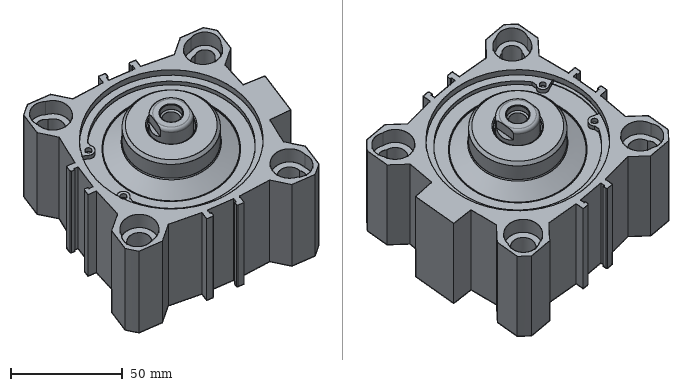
import cadquery as cq
import math

HALF_WIDTH = 50.0
HOUSING_HEIGHT = 56.0
TOTAL_LENGTH = 105.0
TOTAL_HEIGHT = 74.0

LUG_CORNER_RADIUS = 67.5
LUG_INNER = 33.4
LUG_SHOULDER_DROP = 7.2
WALL_FLAT_HALF = 9.7
WALL_FLAT_DISTANCE = 44.2
JOIN_OVERLAP = 1.0

RIB_TIP_DISTANCE = 48.5
RIB_INNER = 6.7
RIB_LIP_INNER = 6.0
RIB_LIP_HEIGHT = 2.2
RIB_LIP_CHAMFER = 0.4

PORT_BASE_HALF = 12.0
PORT_TIP_HALF = 11.5
PORT_TIP_DISTANCE = TOTAL_LENGTH - HALF_WIDTH

SCREW_OFFSET = 38.7
SCREW_DIAMETER = 11.4
COUNTERBORE_DIAMETER = 17.4
COUNTERBORE_DEPTH = 9.0
RELIEF_OFFSET = 41.1
RELIEF_DIAMETER = 9.1
RELIEF_COUNTERBORE_DIAMETER = 14.5

BORE_DIAMETER = 82.1
RING_TOP_DEPTH = 3.7
RING_THICKNESS = 2.5
RING_DIAMETER = 85.6
RING_INNER_DIAMETER = 75.1
RING_TOP = HOUSING_HEIGHT - RING_TOP_DEPTH
COVER_SEAT = RING_TOP - RING_THICKNESS
COVER_THICKNESS = 12.0
BORE_FLOOR = COVER_SEAT - COVER_THICKNESS

COVER_DIAMETER = 81.7
RECESS_DIAMETER = 62.0
RECESS_DEPTH = 0.4
CONE_DIAMETER = 61.1
CONE_TOP_DEPTH = 1.7
COLLAR_FOOT_DIAMETER = 44.8
COLLAR_FOOT_HEIGHT = 0.6
COLLAR_DIAMETER = 44.0
COLLAR_HEIGHT = 10.0
COLLAR_CHAMFER_WIDTH = 1.5
COLLAR_CHAMFER_HEIGHT = 1.6
ROD_HOLE_DIAMETER = 20.6
WIPER_SEAT_DIAMETER = 21.9
WIPER_SEAT_DEPTH = 2.0
ROD_HOLE_MOUTH_DIAMETER = 23.0

LUG_HOLE_X = 15.6
LUG_HOLE_Y = -33.7
LUG_HOLE_DIAMETER = 3.0
LUG_DIAMETER = 5.9
RING_LUG_EDGE_Y = -31.6
RING_LUG_ROOT_X = 23.1

ROD_DIAMETER = 20.0
ROD_TOP_FILLET = 1.7
FLAT_WIDTH = 17.1
FLAT_LENGTH = 6.0
ROD_BORE_MOUTH_DIAMETER = 10.9
THREAD_RELIEF_DIAMETER = 10.3
THREAD_RELIEF_DEPTH = 3.5
ROD_BORE_DIAMETER = 8.4
ROD_BORE_DEPTH = 16.8
DRILL_POINT_ANGLE = 118.0


def cylinder(diameter, bottom, top, x=0.0, y=0.0):
    """Upright cylinder between two heights."""
    return cq.Workplane("XY", origin=(x, y, bottom)).circle(diameter / 2).extrude(top - bottom)


def quarter_turned(point, turns):
    """Point turned counterclockwise about the origin by quarter turns."""
    x, y = point
    for _ in range(turns):
        x, y = -y, x
    return (x, y)


def make_outline_block():
    """Housing block: crowned walls between four lugs whose corners lie on one large circle."""
    shoulder = LUG_INNER - LUG_SHOULDER_DROP
    wall = HALF_WIDTH - LUG_SHOULDER_DROP
    quarter = [
        (-WALL_FLAT_HALF, -WALL_FLAT_DISTANCE),
        (WALL_FLAT_HALF, -WALL_FLAT_DISTANCE),
        (shoulder, -wall),
        (LUG_INNER, -HALF_WIDTH),
        (HALF_WIDTH, -HALF_WIDTH),
        (HALF_WIDTH, -LUG_INNER),
        (wall, -shoulder),
    ]
    outline = [quarter_turned(point, turns) for turns in range(4) for point in quarter]
    block = cq.Workplane("XY").polyline(outline).close().extrude(HOUSING_HEIGHT)
    return block.intersect(cylinder(2 * LUG_CORNER_RADIUS, 0, HOUSING_HEIGHT))


def make_rib_pair():
    """Two mirrored hooked ribs on the -Y wall."""
    root = JOIN_OVERLAP - WALL_FLAT_DISTANCE
    lip_root = RIB_LIP_HEIGHT - RIB_TIP_DISTANCE
    rib = (
        cq.Workplane("XY")
        .polyline([
            (WALL_FLAT_HALF, root),
            (WALL_FLAT_HALF, -RIB_TIP_DISTANCE),
            (RIB_LIP_INNER + RIB_LIP_CHAMFER, -RIB_TIP_DISTANCE),
            (RIB_LIP_INNER, RIB_LIP_CHAMFER - RIB_TIP_DISTANCE),
            (RIB_LIP_INNER, lip_root),
            (RIB_INNER, lip_root),
            (RIB_INNER, root),
        ])
        .close()
        .extrude(HOUSING_HEIGHT)
    )
    return rib.union(rib.mirror("YZ"))


def make_port_block():
    return (
        cq.Workplane("XY")
        .polyline([
            (-PORT_BASE_HALF, WALL_FLAT_DISTANCE - JOIN_OVERLAP),
            (PORT_BASE_HALF, WALL_FLAT_DISTANCE - JOIN_OVERLAP),
            (PORT_TIP_HALF, PORT_TIP_DISTANCE),
            (-PORT_TIP_HALF, PORT_TIP_DISTANCE),
        ])
        .close()
        .extrude(HOUSING_HEIGHT)
    )


def make_screw_hole(x_side, y_side):
    floor = HOUSING_HEIGHT - COUNTERBORE_DEPTH
    main = (x_side * SCREW_OFFSET, y_side * SCREW_OFFSET)
    relief = (x_side * RELIEF_OFFSET, y_side * RELIEF_OFFSET)
    return (
        cylinder(SCREW_DIAMETER, 0, HOUSING_HEIGHT, *main)
        .union(cylinder(COUNTERBORE_DIAMETER, floor, HOUSING_HEIGHT, *main))
        .union(cylinder(RELIEF_DIAMETER, 0, HOUSING_HEIGHT, *relief))
        .union(cylinder(RELIEF_COUNTERBORE_DIAMETER, floor, HOUSING_HEIGHT, *relief))
    )


def make_housing():
    housing = make_outline_block()
    for angle in (0, 90, -90):
        housing = housing.union(make_rib_pair().rotate((0, 0, 0), (0, 0, 1), angle))
    housing = housing.union(make_port_block())
    for x_side in (-1, 1):
        for y_side in (-1, 1):
            housing = housing.cut(make_screw_hole(x_side, y_side))
    housing = housing.cut(cylinder(BORE_DIAMETER, BORE_FLOOR, HOUSING_HEIGHT))
    return housing.cut(cylinder(RING_DIAMETER, COVER_SEAT, RING_TOP))


def revolved(profile):
    """Solid turned about the Z axis from a closed profile of (radius, height) points."""
    return cq.Workplane("XZ").polyline(profile).close().revolve(360, (0, 0, 0), (0, 1, 0))


def make_cover():
    """Turned cover with a conical shoulder, a collar and a rod hole with a wiper seat."""
    cone_base = COVER_SEAT - RECESS_DEPTH
    cone_top = HOUSING_HEIGHT - CONE_TOP_DEPTH
    collar_top = HOUSING_HEIGHT + COLLAR_HEIGHT
    collar_radius = COLLAR_DIAMETER / 2
    hole_radius = ROD_HOLE_DIAMETER / 2
    seat_radius = WIPER_SEAT_DIAMETER / 2
    mouth_radius = ROD_HOLE_MOUTH_DIAMETER / 2
    seat_floor = collar_top - WIPER_SEAT_DEPTH
    return revolved([
        (hole_radius, BORE_FLOOR),
        (COVER_DIAMETER / 2, BORE_FLOOR),
        (COVER_DIAMETER / 2, COVER_SEAT),
        (RECESS_DIAMETER / 2, COVER_SEAT),
        (RECESS_DIAMETER / 2, cone_base),
        (CONE_DIAMETER / 2, cone_base),
        (COLLAR_FOOT_DIAMETER / 2, cone_top),
        (collar_radius, cone_top + COLLAR_FOOT_HEIGHT),
        (collar_radius, collar_top - COLLAR_CHAMFER_HEIGHT),
        (collar_radius - COLLAR_CHAMFER_WIDTH, collar_top),
        (mouth_radius, collar_top),
        (seat_radius, collar_top - (mouth_radius - seat_radius)),
        (seat_radius, seat_floor),
        (hole_radius, seat_floor),
    ])


def make_ring_lug(side, envelope):
    """Round-nosed lug at one end of the snap ring, trimmed to the ring's outer circle."""
    outer = RING_DIAMETER / 2
    web = (
        cq.Workplane("XY", origin=(0, 0, COVER_SEAT))
        .polyline([
            (side * RING_LUG_ROOT_X, RING_LUG_EDGE_Y),
            (side * LUG_HOLE_X, RING_LUG_EDGE_Y),
            (side * (LUG_HOLE_X - LUG_DIAMETER / 2), LUG_HOLE_Y),
            (side * LUG_HOLE_X, -outer),
            (side * RING_LUG_ROOT_X, -outer),
        ])
        .close()
        .extrude(RING_THICKNESS)
        .intersect(envelope)
    )
    return web.union(cylinder(LUG_DIAMETER, COVER_SEAT, RING_TOP, side * LUG_HOLE_X, LUG_HOLE_Y))


def make_snap_ring():
    """Open ring whose two ends carry round lugs with plier holes."""
    disc = cylinder(RING_DIAMETER, COVER_SEAT, RING_TOP)
    gap = (
        cq.Workplane("XY", origin=(0, -RING_DIAMETER / 2, COVER_SEAT))
        .rect(2 * LUG_HOLE_X, RING_DIAMETER / 2)
        .extrude(RING_THICKNESS)
    )
    ring = disc.cut(cylinder(RING_INNER_DIAMETER, COVER_SEAT, RING_TOP)).cut(gap)
    for side in (-1, 1):
        ring = ring.union(make_ring_lug(side, disc))
        ring = ring.cut(cylinder(LUG_HOLE_DIAMETER, COVER_SEAT, RING_TOP, side * LUG_HOLE_X, LUG_HOLE_Y))
    return ring


def make_wrench_flat(side):
    """Material removed for one wrench flat, ending below in a 45 degree run-out."""
    flat_bottom = TOTAL_HEIGHT - FLAT_LENGTH
    inner = FLAT_WIDTH / 2
    outer = ROD_DIAMETER / 2
    return (
        cq.Workplane("YZ")
        .polyline([
            (side * inner, TOTAL_HEIGHT),
            (side * inner, flat_bottom),
            (side * outer, flat_bottom - (outer - inner)),
            (side * outer, TOTAL_HEIGHT),
        ])
        .close()
        .extrude(outer, both=True)
    )


def make_rod_bore():
    """Material removed for the tapped bore: chamfered mouth, thread relief and drill point."""
    bore_radius = ROD_BORE_DIAMETER / 2
    relief_radius = THREAD_RELIEF_DIAMETER / 2
    mouth_radius = ROD_BORE_MOUTH_DIAMETER / 2
    point_slope = math.tan(math.radians(DRILL_POINT_ANGLE / 2))
    relief_bottom = TOTAL_HEIGHT - THREAD_RELIEF_DEPTH
    bore_bottom = TOTAL_HEIGHT - ROD_BORE_DEPTH
    return revolved([
        (0, TOTAL_HEIGHT),
        (mouth_radius, TOTAL_HEIGHT),
        (relief_radius, TOTAL_HEIGHT - (mouth_radius - relief_radius)),
        (relief_radius, relief_bottom),
        (bore_radius, relief_bottom - (relief_radius - bore_radius) / point_slope),
        (bore_radius, bore_bottom),
        (0, bore_bottom - bore_radius / point_slope),
    ])


def make_rod():
    """Piston rod standing on the bore floor."""
    rod = cylinder(ROD_DIAMETER, BORE_FLOOR, TOTAL_HEIGHT).faces(">Z").edges().fillet(ROD_TOP_FILLET)
    for side in (-1, 1):
        rod = rod.cut(make_wrench_flat(side))
    return rod.cut(make_rod_bore())


housing = make_housing()
cover = make_cover()
snap_ring = make_snap_ring()
rod = make_rod()

result = cq.Compound.makeCompound([housing.val(), cover.val(), snap_ring.val(), rod.val()])